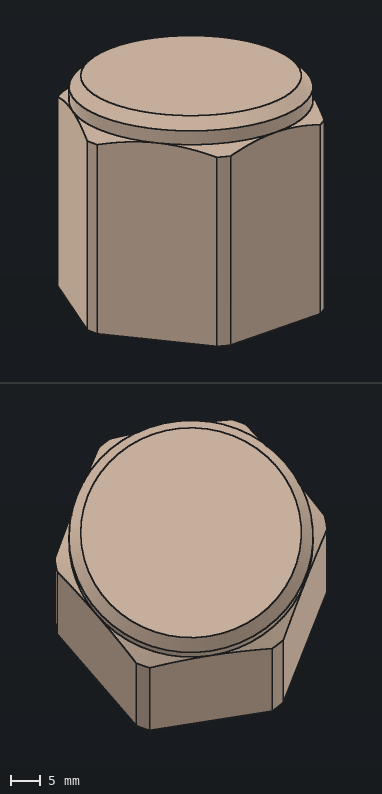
import cadquery as cq
import math

corner_diameter = 46.0
across_flats = 41.0
total_height = 40.0
hex_height = 35.55
cap_chamfer = 2.0
bevel_angle = 30.0

corner_radius = corner_diameter / 2
cap_radius = across_flats / 2
sharp_corner_diameter = across_flats / math.cos(math.radians(30))
bevel_drop = (corner_radius - cap_radius) * math.tan(math.radians(bevel_angle))


def turned_envelope():
    """Round body with a conical shoulder that limits the hexagon."""
    profile = [
        (0, 0),
        (corner_radius, 0),
        (corner_radius, hex_height - bevel_drop),
        (cap_radius, hex_height),
        (0, hex_height),
    ]
    return cq.Workplane("XZ").polyline(profile).close().revolve(360, (0, 0), (0, 1))


def hex_prism():
    """Hexagonal prism with flats facing +X and -X."""
    return (
        cq.Workplane("XY")
        .transformed(rotate=(0, 0, 90))
        .polygon(6, sharp_corner_diameter)
        .extrude(hex_height)
    )


def cap():
    """Round cap above the hexagon, chamfered around its top rim."""
    return (
        cq.Workplane("XY")
        .workplane(offset=hex_height)
        .circle(cap_radius)
        .extrude(total_height - hex_height)
        .faces(">Z")
        .chamfer(cap_chamfer)
    )


def hex_body():
    """Hexagon with its corners rounded and bevelled by the turned envelope."""
    return hex_prism().intersect(turned_envelope())


result = hex_body().union(cap())